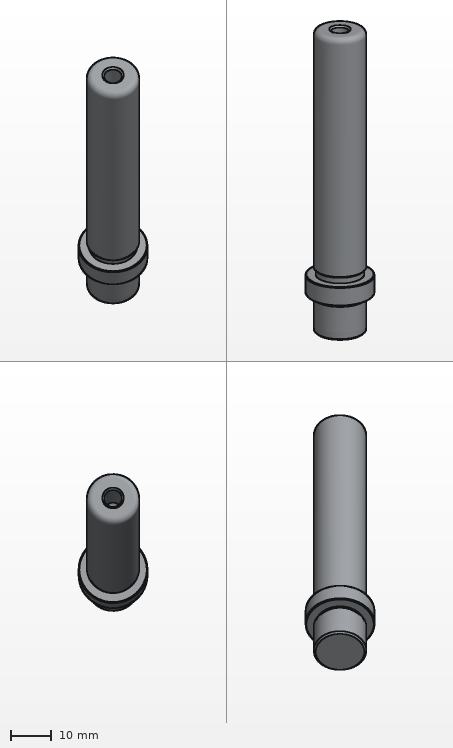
import cadquery as cq
import math

length = 80.0
shaft_radius = 6.5
top_fillet = 1.5

collar_radius = 8.5
collar_bottom = 10.0
collar_top = 15.0
collar_chamfer = 0.2
neck_radius = 6.0
neck_slope = shaft_radius - neck_radius
upper_neck_end = 17.0
lower_neck_end = 9.0

lead_in_length = 2.2
lead_in_relief = 0.04
lead_in_radius = shaft_radius - lead_in_relief
bottom_chamfer = 0.5

hole_radius = 2.2
hole_depth = 12.0
hole_mouth_radius = 2.6
countersink_depth = hole_mouth_radius - hole_radius
drill_point_angle = 118.0
drill_point_depth = hole_radius / math.tan(math.radians(drill_point_angle / 2))


def revolve_profile(profile):
    """Revolve a closed (radius, height) outline about Z."""
    return profile.close().revolve(360, (0, 0, 0), (0, 1, 0))


def make_pin():
    fillet_start = length - top_fillet
    fillet_mid_offset = top_fillet * math.sqrt(0.5)
    fillet_center_radius = shaft_radius - top_fillet
    profile = (
        cq.Workplane("XZ")
        .moveTo(0, 0)
        .lineTo(lead_in_radius - bottom_chamfer, 0)
        .lineTo(lead_in_radius, bottom_chamfer)
        .lineTo(shaft_radius, lead_in_length)
        .lineTo(shaft_radius, lower_neck_end)
        .lineTo(neck_radius, lower_neck_end + neck_slope)
        .lineTo(neck_radius, collar_bottom)
        .lineTo(collar_radius - collar_chamfer, collar_bottom)
        .lineTo(collar_radius, collar_bottom + collar_chamfer)
        .lineTo(collar_radius, collar_top - collar_chamfer)
        .lineTo(collar_radius - collar_chamfer, collar_top)
        .lineTo(neck_radius, collar_top)
        .lineTo(neck_radius, upper_neck_end - neck_slope)
        .lineTo(shaft_radius, upper_neck_end)
        .lineTo(shaft_radius, fillet_start)
        .threePointArc(
            (fillet_center_radius + fillet_mid_offset, fillet_start + fillet_mid_offset),
            (fillet_center_radius, length),
        )
        .lineTo(0, length)
    )
    return revolve_profile(profile)


def make_hole():
    hole_floor = length - hole_depth
    profile = (
        cq.Workplane("XZ")
        .moveTo(0, length)
        .lineTo(hole_mouth_radius, length)
        .lineTo(hole_radius, length - countersink_depth)
        .lineTo(hole_radius, hole_floor)
        .lineTo(0, hole_floor - drill_point_depth)
    )
    return revolve_profile(profile)


result = make_pin().cut(make_hole())